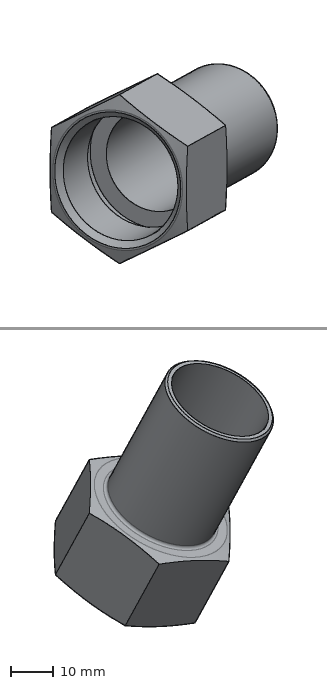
import cadquery as cq
import math

across_flats = 36.0
across_corners = across_flats / math.cos(math.radians(30))
nut_length = 22.0
corner_bevel_angle = 15.0
bevel_start_diameter = 34.3

tube_diameter = 28.0
tube_bore_diameter = 25.0
tube_length = 35.0
tube_end_chamfer = 0.5
root_fillet_radius = 0.8

thread_bore_diameter = 30.29
mouth_chamfer = 1.5
relief_diameter = 33.5
relief_width = 3.0
socket_depth = 19.0

total_length = nut_length + tube_length
y_mouth = -total_length / 2
y_shoulder = y_mouth + nut_length
y_tube_end = y_mouth + total_length


def revolve_about_y(points):
    """Solid of revolution about the Y axis from (radius, y) points."""
    profile = cq.Workplane("XY").polyline(points).close()
    return profile.revolve(360, (0, 0, 0), (0, 1, 0))


def cylinder(diameter, y_start, y_end):
    radius = diameter / 2
    return revolve_about_y([(0, y_start), (radius, y_start), (radius, y_end), (0, y_end)])


def make_nut():
    """Hexagonal prism with flats facing +X and -X and beveled corners at both ends."""
    hexagon = (
        cq.Workplane("XZ", origin=(0, y_shoulder, 0))
        .transformed(rotate=(0, 0, 90))
        .polygon(6, across_corners)
        .extrude(nut_length)
    )
    flat_radius = bevel_start_diameter / 2
    corner_radius = across_corners / 2
    bevel_depth = (corner_radius - flat_radius) * math.tan(math.radians(corner_bevel_angle))
    bevel_envelope = revolve_about_y([
        (0, y_mouth),
        (flat_radius, y_mouth),
        (corner_radius, y_mouth + bevel_depth),
        (corner_radius, y_shoulder - bevel_depth),
        (flat_radius, y_shoulder),
        (0, y_shoulder),
    ])
    return hexagon.intersect(bevel_envelope)


def make_tube():
    """Tube stub with a chamfered free end and a concave fillet at the nut."""
    radius = tube_diameter / 2
    profile = (
        cq.Workplane("XY")
        .moveTo(0, y_shoulder)
        .lineTo(radius + root_fillet_radius, y_shoulder)
        .radiusArc((radius, y_shoulder + root_fillet_radius), root_fillet_radius)
        .lineTo(radius, y_tube_end - tube_end_chamfer)
        .lineTo(radius - tube_end_chamfer, y_tube_end)
        .lineTo(0, y_tube_end)
        .close()
    )
    return profile.revolve(360, (0, 0, 0), (0, 1, 0))


def make_socket():
    """Cutter for the threaded bore, its mouth chamfer and the relief behind it."""
    bore_radius = thread_bore_diameter / 2
    relief_radius = relief_diameter / 2
    relief_chamfer = relief_radius - bore_radius
    y_floor = y_mouth + socket_depth
    y_relief = y_floor - relief_width
    return revolve_about_y([
        (0, y_mouth),
        (bore_radius + mouth_chamfer, y_mouth),
        (bore_radius, y_mouth + mouth_chamfer),
        (bore_radius, y_relief - relief_chamfer),
        (relief_radius, y_relief),
        (relief_radius, y_floor),
        (0, y_floor),
    ])


through_bore = cylinder(tube_bore_diameter, y_mouth, y_tube_end)
result = make_nut().union(make_tube()).cut(through_bore).cut(make_socket())